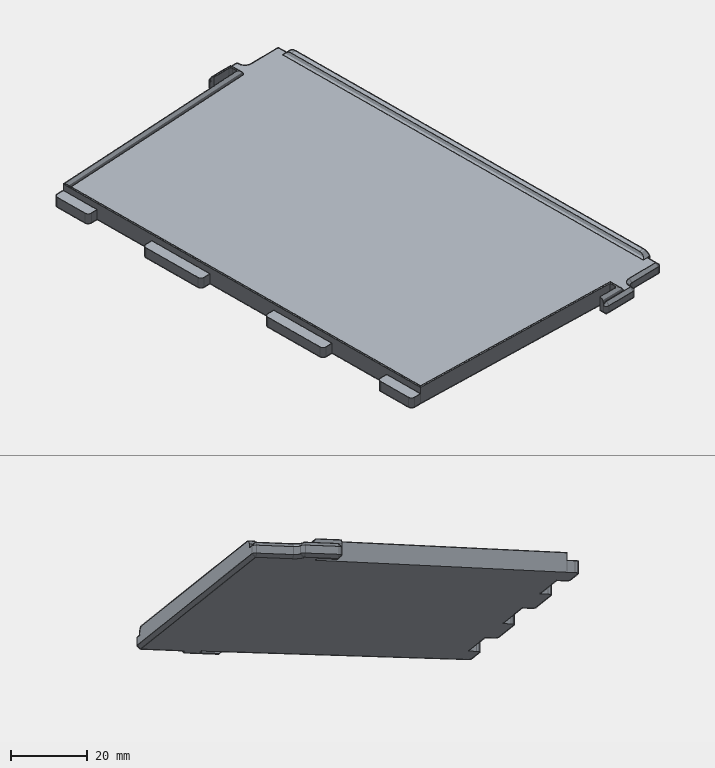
import cadquery as cq
import math

length = 145.2
depth = 88.3
height = 5.2
lip_size = 1.23
floor_z = height - lip_size

rear_y = depth / 2
tab_depth = 3.3
front_y = -depth / 2 + tab_depth
rear_half_width = 69.7
front_half_width = 65.0
slot_half_width = 68.0
finger_outer_x = length / 2
finger_width = 2.3
finger_inner_x = finger_outer_x - finger_width
arm_rear_y = 31.8
slot_end_y = 27.0
finger_tip_y = 20.8

edge_chamfer = 0.95
corner_radius = 1.0
arm_root_radius = 1.5
slot_corner_radius = 0.6
tolerance = 0.01

rib_half_length = 65.6
rib_foot_width = 2.5
rib_hollow_width = 0.9
rib_hollow_sag = 0.13
rib_end_radius = 2.6

tab_height = 3.2
tab_corner_radius = 1.2
outer_tab_span = (52.7, front_half_width)
inner_tab_span = (11.6, 32.8)

lip_edge_half = [
    (finger_inner_x, finger_tip_y),
    (finger_inner_x, slot_end_y),
    (slot_half_width, slot_end_y),
    (front_half_width, front_y),
]
rear_edge_half = [
    (finger_outer_x, finger_tip_y),
    (finger_outer_x, arm_rear_y),
    (rear_half_width, arm_rear_y),
    (rear_half_width, rear_y),
]


def mirrored(points):
    """Continue a +X half outline with its mirror image, in reverse order."""
    return points + [(-x, y) for x, y in reversed(points)]


def round_corners(body, corners, radius):
    """Round the vertical edges at the given corners on both sides of the part."""
    for x, y in mirrored(corners):
        nearest = cq.selectors.NearestToPointSelector((x, y, floor_z / 2))
        body = body.edges("|Z").edges(nearest).fillet(radius)
    return body


def make_plate():
    """Flat plate with bevelled edges along its rear, arms and fingers."""
    outline = mirrored(lip_edge_half) + mirrored(rear_edge_half)[::-1]
    plate = cq.Workplane("XY").polyline(outline).close().extrude(floor_z)

    finger_tip, arm_corner, arm_root, rear_corner = rear_edge_half
    plate = round_corners(plate, [finger_tip, arm_corner, rear_corner], corner_radius)
    plate = round_corners(plate, [arm_root], arm_root_radius)

    def is_outside_lip(edge):
        middle = edge.Center()
        behind_slots = middle.y > slot_end_y + tolerance
        beyond_slots = abs(middle.x) > finger_inner_x + tolerance
        return behind_slots or beyond_slots

    return plate.faces("<Z or >Z").edges().filter(is_outside_lip).chamfer(edge_chamfer)


def make_lip():
    """Raised lip along the front edge, rounded over towards the floor."""
    start_x, start_y = lip_edge_half[0]
    root_z = floor_z / 2
    foot_x = start_x + lip_size
    bulge = lip_size * math.sqrt(0.5)
    path = cq.Workplane("XY").polyline(mirrored(lip_edge_half))
    profile = (
        cq.Workplane("XZ", origin=(0, start_y, 0))
        .moveTo(start_x, root_z)
        .lineTo(start_x, height)
        .threePointArc((start_x + bulge, floor_z + bulge), (foot_x, floor_z))
        .lineTo(foot_x, root_z)
        .close()
    )
    return profile.sweep(path, transition="right")


def make_slot_corner_fill():
    """Full-height fillet in the +X slot, where the arm meets the inside of its finger."""
    chord_offset = slot_corner_radius * (1 - math.sqrt(0.5))
    return (
        cq.Workplane("XY")
        .moveTo(finger_inner_x, slot_end_y)
        .lineTo(finger_inner_x, slot_end_y - slot_corner_radius)
        .threePointArc(
            (finger_inner_x - chord_offset, slot_end_y - chord_offset),
            (finger_inner_x - slot_corner_radius, slot_end_y),
        )
        .close()
        .extrude(height)
    )


def make_rib():
    """Rib flush with the rear edge: hollowed along its front, rounded down at both ends."""
    root_z = floor_z / 2
    foot_y = rear_y - rib_foot_width
    crest_y = foot_y + rib_hollow_width
    slope_length = math.hypot(rib_hollow_width, lip_size)
    hollow_y = (crest_y + foot_y) / 2 + rib_hollow_sag * lip_size / slope_length
    hollow_z = (height + floor_z) / 2 - rib_hollow_sag * rib_hollow_width / slope_length
    rib = (
        cq.Workplane("YZ")
        .moveTo(rear_y, root_z)
        .lineTo(rear_y, height)
        .lineTo(crest_y, height)
        .threePointArc((hollow_y, hollow_z), (foot_y, floor_z))
        .lineTo(foot_y, root_z)
        .close()
        .extrude(rib_half_length, both=True)
    )

    arc_run = math.sqrt(rib_end_radius**2 - (rib_end_radius - lip_size) ** 2)
    arc_half_angle = math.asin(arc_run / rib_end_radius) / 2
    arc_start = rib_half_length - arc_run
    arc_middle = (
        arc_start + rib_end_radius * math.sin(arc_half_angle),
        height - rib_end_radius * (1 - math.cos(arc_half_angle)),
    )
    end_profile = (
        cq.Workplane("XZ", origin=(0, rear_y, 0))
        .moveTo(-rib_half_length, root_z)
        .lineTo(-rib_half_length, floor_z)
        .threePointArc((-arc_middle[0], arc_middle[1]), (-arc_start, height))
        .lineTo(arc_start, height)
        .threePointArc(arc_middle, (rib_half_length, floor_z))
        .lineTo(rib_half_length, root_z)
        .close()
        .extrude(rib_foot_width)
    )
    return rib.intersect(end_profile)


def make_tab(x_start, x_end):
    """Tab on the front face with rounded front corners."""
    return (
        cq.Workplane("XY")
        .box(x_end - x_start, tab_depth, tab_height, centered=False)
        .edges("<Y and |Z")
        .fillet(tab_corner_radius)
        .translate((x_start, front_y - tab_depth, 0))
    )


slot_corner_fill = make_slot_corner_fill()
result = make_plate().union(make_lip()).union(make_rib())
result = result.union(slot_corner_fill).union(slot_corner_fill.mirror("YZ"))
for near_x, far_x in (outer_tab_span, inner_tab_span):
    result = result.union(make_tab(near_x, far_x))
    result = result.union(make_tab(-far_x, -near_x))